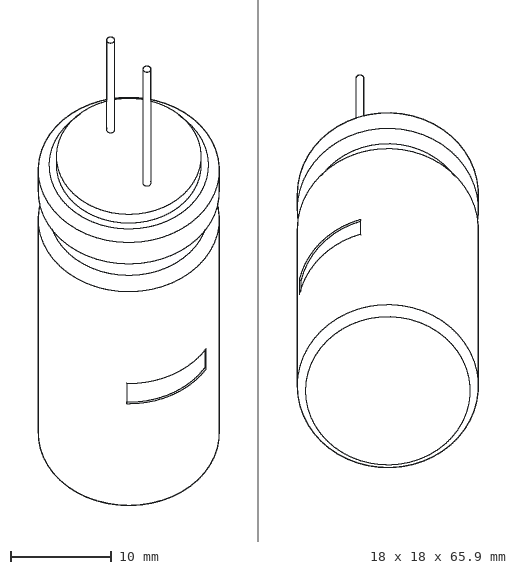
import cadquery as cq

CAN_DIAMETER = 18.0
NECK_DIAMETER = 15.8
PLUG_DIAMETER = 14.35
BASE_DIAMETER = 16.35
BASE_CHAMFER_HEIGHT = 1.05
GROOVE_BOTTOM = 36.55
GROOVE_CHAMFER_HEIGHT = 1.25
NECK_HEIGHT = 2.1
COLLAR_HEIGHT = 3.55
COLLAR_CHAMFER_HEIGHT = 0.8
PLUG_HEIGHT = 1.45

MARK_HEIGHT = 3.35
MARK_WIDTH = 8.95
MARK_DEPTH = 0.2
MARK_CENTER_Z = 19.6

LEAD_DIAMETER = 0.8
LEAD_PITCH = 7.5
TOTAL_HEIGHT = 65.9
SHORT_LEAD_TOP = 61.85

neck_bottom = GROOVE_BOTTOM + GROOVE_CHAMFER_HEIGHT
neck_top = neck_bottom + NECK_HEIGHT
collar_bottom = neck_top + GROOVE_CHAMFER_HEIGHT
collar_top = collar_bottom + COLLAR_HEIGHT
shoulder_z = collar_top + COLLAR_CHAMFER_HEIGHT
plug_top = shoulder_z + PLUG_HEIGHT


def make_can_blank():
    """Can with base chamfer, rolled groove, collar and end plug, revolved from its half section."""
    can_radius = CAN_DIAMETER / 2
    neck_radius = NECK_DIAMETER / 2
    plug_radius = PLUG_DIAMETER / 2
    half_section = [
        (0, 0),
        (BASE_DIAMETER / 2, 0),
        (can_radius, BASE_CHAMFER_HEIGHT),
        (can_radius, GROOVE_BOTTOM),
        (neck_radius, neck_bottom),
        (neck_radius, neck_top),
        (can_radius, collar_bottom),
        (can_radius, collar_top),
        (neck_radius, shoulder_z),
        (plug_radius, shoulder_z),
        (plug_radius, plug_top),
        (0, plug_top),
    ]
    return cq.Workplane("XZ").polyline(half_section).close().revolve(360, (0, 0, 0), (0, 1, 0))


def make_mark_cutter():
    """Ring segment that sinks the mark evenly into the round wall."""
    ring = (
        cq.Workplane("XY")
        .workplane(offset=MARK_CENTER_Z - MARK_HEIGHT / 2)
        .circle(CAN_DIAMETER)
        .circle(CAN_DIAMETER / 2 - MARK_DEPTH)
        .extrude(MARK_HEIGHT)
    )
    window = (
        cq.Workplane("XY")
        .box(CAN_DIAMETER, MARK_WIDTH, MARK_HEIGHT, centered=(False, True, True))
        .translate((0, 0, MARK_CENTER_Z))
    )
    return ring.intersect(window)


def make_lead(x, top):
    """Round lead from the plug face up to the given height."""
    return (
        cq.Workplane("XY")
        .workplane(offset=plug_top)
        .center(x, 0)
        .circle(LEAD_DIAMETER / 2)
        .extrude(top - plug_top)
    )


can = make_can_blank().cut(make_mark_cutter())

lead_places = [(-LEAD_PITCH / 2, SHORT_LEAD_TOP), (LEAD_PITCH / 2, TOTAL_HEIGHT)]
leads = [make_lead(x, top) for x, top in lead_places]

result = cq.Compound.makeCompound([can.val(), *[lead.val() for lead in leads]])